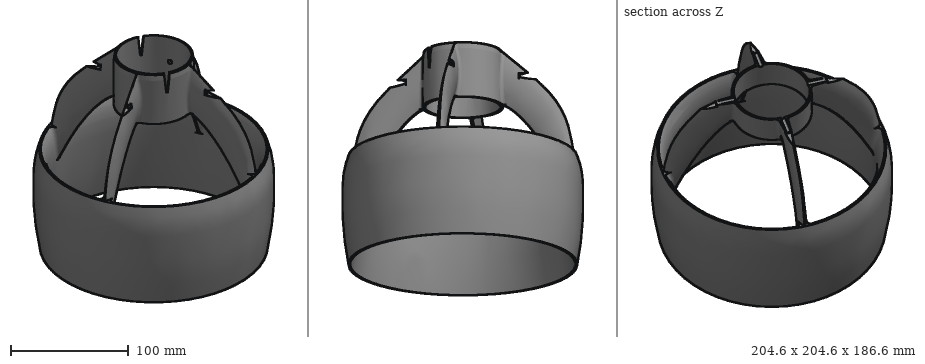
import cadquery as cq
import math

TOTAL_HEIGHT = 186.57

RING_MAX_RADIUS = 102.28
RING_HEIGHT = 93.9
RING_TOP_RADIUS = 97.2
RING_BOTTOM_RADIUS = 97.0
RING_SHOULDER_RADIUS = 99.8
RING_SHOULDER_DROP = 8.0
RING_BELLY_HEIGHT = 58.0
RING_TAIL_RADIUS = 101.2
RING_TAIL_HEIGHT = 30.0
RING_EDGE_WALL = 1.5
RING_THROAT_RADIUS = 89.4

BORE_DIAMETER = 64.0
HUB_RADIUS = 34.0
HUB_LENGTH = 48.2
HUB_BOTTOM = TOTAL_HEIGHT - HUB_LENGTH
HUB_TAPER_LENGTH = 5.9
HUB_TAPER_RADIUS = 33.3
HUB_RIM_CHAMFER = 0.6

RIB_COUNT = 4
RIB_THICKNESS = 8.0
RIB_INNER_EDGE = 1.5
RIB_ROOT_RADIUS = (BORE_DIAMETER / 2 + HUB_RADIUS) / 2
RIB_TOP_DROP = 0.3
RIB_FOOT_DROP = 1.0
RIB_ROOT_FILLET = 3.0
RIB_FOOT_FILLET = 4.0

RIB_STATIONS = [
    ((RIB_ROOT_RADIUS, TOTAL_HEIGHT - RIB_TOP_DROP), (RIB_ROOT_RADIUS, HUB_BOTTOM)),
    ((63.3, 159.2), (46.5, 130.0)),
    ((81.4, 138.3), (59.5, 115.3)),
    ((92.6, 112.0), (74.5, 92.0)),
    ((96.4, RING_HEIGHT - RIB_FOOT_DROP), (91.0, 58.0)),
]

SCREW_DIAMETER = 3.6
SCREW_HEIGHT = HUB_BOTTOM + HUB_LENGTH / 2
ACCESS_DIAMETER = 6.0
ACCESS_FLOOR_RADIUS = 48.9
ACCESS_LENGTH = 30.0

SEAM_ANGLE = 180 / RIB_COUNT

JOINT_MIN_OFFSET = 0.5
JOINT_RADIUS_MARGIN = 0.5
ROOT_EDGE_MIN_HEIGHT = 3.0
FOOT_EDGE_MIN_HEIGHT = 15.0

SLOT_ANGLES = (-45.0, 135.0)
SLOT_DEPTH = 18.3
SLOT_TOP_WIDTH = 5.0
SLOT_END_DIAMETER = 1.5


def make_ring():
    """Closed outer and inner bulges joined by narrow flat ends."""
    mean_radius = (RING_MAX_RADIUS + RING_THROAT_RADIUS) / 2
    outer = [
        (RING_BOTTOM_RADIUS, 0),
        (RING_TAIL_RADIUS, RING_TAIL_HEIGHT),
        (RING_MAX_RADIUS, RING_BELLY_HEIGHT),
        (RING_SHOULDER_RADIUS, RING_HEIGHT - RING_SHOULDER_DROP),
        (RING_TOP_RADIUS, RING_HEIGHT),
    ]
    inner = [
        (RING_TOP_RADIUS - RING_EDGE_WALL, RING_HEIGHT),
        (2 * mean_radius - RING_SHOULDER_RADIUS, RING_HEIGHT - RING_SHOULDER_DROP),
        (RING_THROAT_RADIUS, RING_BELLY_HEIGHT),
        (2 * mean_radius - RING_TAIL_RADIUS, RING_TAIL_HEIGHT),
        (RING_BOTTOM_RADIUS - RING_EDGE_WALL, 0),
    ]
    section = (
        cq.Workplane("XZ")
        .moveTo(*outer[0])
        .spline(outer[1:], includeCurrent=True)
        .lineTo(*inner[0])
        .spline(inner[1:], includeCurrent=True)
        .close()
    )
    return section.revolve(360, (0, 0, 0), (0, 1, 0))


def make_hub():
    """Sleeve blank with a tapered and chamfered rim."""
    return (
        cq.Workplane("XZ")
        .moveTo(0, HUB_BOTTOM)
        .lineTo(HUB_RADIUS, HUB_BOTTOM)
        .lineTo(HUB_RADIUS, TOTAL_HEIGHT - HUB_TAPER_LENGTH)
        .lineTo(HUB_TAPER_RADIUS, TOTAL_HEIGHT - HUB_RIM_CHAMFER)
        .lineTo(HUB_TAPER_RADIUS - HUB_RIM_CHAMFER, TOTAL_HEIGHT)
        .lineTo(0, TOTAL_HEIGHT)
        .close()
        .revolve(360, (0, 0, 0), (0, 1, 0))
    )


def rib_section(outer_end, inner_end):
    """Lens wire across the rib between its outer and inner edges."""
    mid_x = (outer_end[0] + inner_end[0]) / 2
    mid_z = (outer_end[1] + inner_end[1]) / 2
    half_edge = RIB_INNER_EDGE / 2
    tip = cq.Vector(outer_end[0], 0, outer_end[1])
    left = cq.Vector(inner_end[0], half_edge, inner_end[1])
    right = cq.Vector(inner_end[0], -half_edge, inner_end[1])
    left_mid = cq.Vector(mid_x, RIB_THICKNESS / 2, mid_z)
    right_mid = cq.Vector(mid_x, -RIB_THICKNESS / 2, mid_z)
    return cq.Wire.assembleEdges([
        cq.Edge.makeThreePointArc(tip, left_mid, left),
        cq.Edge.makeLine(left, right),
        cq.Edge.makeThreePointArc(right, right_mid, tip),
    ])


def make_rib():
    """Rib along +X, lofted from the hub wall down into the ring wall."""
    sections = [rib_section(*station) for station in RIB_STATIONS]
    return cq.Workplane(cq.Solid.makeLoft(sections))


def make_screw_cut():
    """Radial hole through the hub and rib root, with the wider access bore outside it."""
    hub_axis_point = cq.Vector(0, 0, SCREW_HEIGHT)
    floor_point = cq.Vector(ACCESS_FLOOR_RADIUS, 0, SCREW_HEIGHT)
    outward = cq.Vector(1, 0, 0)
    hole = cq.Solid.makeCylinder(SCREW_DIAMETER / 2, ACCESS_FLOOR_RADIUS, hub_axis_point, outward)
    access = cq.Solid.makeCylinder(ACCESS_DIAMETER / 2, ACCESS_LENGTH, floor_point, outward)
    return cq.Workplane(hole).union(cq.Workplane(access))


def make_slot_cut():
    """Tapered slot through the hub wall with a round lower end."""
    end_radius = SLOT_END_DIAMETER / 2
    end_center = TOTAL_HEIGHT - SLOT_DEPTH + end_radius
    return (
        cq.Workplane("YZ")
        .moveTo(-SLOT_TOP_WIDTH / 2, TOTAL_HEIGHT)
        .lineTo(-end_radius, end_center)
        .threePointArc((0, end_center - end_radius), (end_radius, end_center))
        .lineTo(SLOT_TOP_WIDTH / 2, TOTAL_HEIGHT)
        .close()
        .extrude(HUB_RADIUS)
    )


def rib_joint_edges(body, inner_radius, outer_radius, min_height):
    """Tall rib joint edges lying between two radii, beside the rib mid-planes."""
    found = []
    for edge in body.edges().vals():
        center = edge.Center()
        box = edge.BoundingBox()
        radius = math.hypot(center.x, center.y)
        beside_rib = JOINT_MIN_OFFSET < min(abs(center.x), abs(center.y)) < RIB_THICKNESS
        if beside_rib and inner_radius < radius < outer_radius and box.zlen > min_height:
            found.append(edge)
    return found


def rotated(body, angle):
    return body.rotate((0, 0, 0), (0, 0, 1), angle)


rib_angles = [i * 360 / RIB_COUNT for i in range(RIB_COUNT)]
ring = rotated(make_ring(), SEAM_ANGLE)
hub = rotated(make_hub(), SEAM_ANGLE)
rib = make_rib()
screw_cut = make_screw_cut()
slot_cut = make_slot_cut()

result = ring.union(hub)
for angle in rib_angles:
    result = result.union(rotated(rib, angle))
root_edges = rib_joint_edges(
    result, RIB_ROOT_RADIUS, HUB_RADIUS + JOINT_RADIUS_MARGIN, ROOT_EDGE_MIN_HEIGHT
)
foot_edges = rib_joint_edges(
    result, RING_THROAT_RADIUS - JOINT_RADIUS_MARGIN, RING_TOP_RADIUS, FOOT_EDGE_MIN_HEIGHT
)
result = cq.Workplane(result.val().fillet(RIB_ROOT_FILLET, root_edges))
result = cq.Workplane(result.val().fillet(RIB_FOOT_FILLET, foot_edges))
result = result.cut(cq.Workplane("XY").circle(BORE_DIAMETER / 2).extrude(TOTAL_HEIGHT))
for angle in rib_angles:
    result = result.cut(rotated(screw_cut, angle))
for angle in SLOT_ANGLES:
    result = result.cut(rotated(slot_cut, angle))